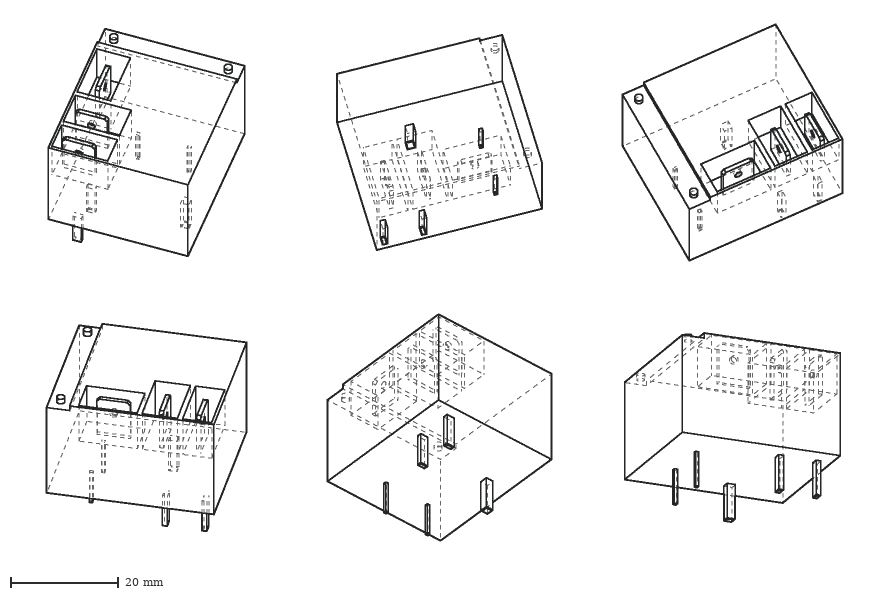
import cadquery as cq

body_width = 27.6
body_length = 32.0
body_height = 20.4

shelf_length = 4.4
shelf_drop = 1.02
post_diameter = 1.5
post_side_offset = 2.5
post_back_offset = 2.18

pocket_left = 0.5
pocket_depth = 8.0
com_pocket_width = 6.62
contact_pocket_width = 11.0
com_pocket_y = (14.8, 25.95)
no_pocket_y = (7.1, 13.85)
nc_pocket_y = (0.58, 6.1)

blade_width = 6.4
blade_thickness = 0.8
blade_chamfer = 0.58
blade_hole_diameter = 1.4
blade_hole_depth = 2.9
contact_blade_x = 4.95
com_blade_y = 20.0

pin_length = 7.0
pin_tip_chamfer = 0.15
contact_pin_size = (1.7, 0.95)
contact_pin_x = 4.85
coil_pin_size = (0.65, 0.65)
coil_pin_y = 25.45
com_pin_size = (1.6, 1.6)
pins = [
    (contact_pin_size, (contact_pin_x, 2.75)),
    (contact_pin_size, (contact_pin_x, 10.3)),
    (coil_pin_size, (8.75, coil_pin_y)),
    (coil_pin_size, (18.85, coil_pin_y)),
    (com_pin_size, (22.7, 12.83)),
]


def make_housing():
    """Block with the back shelf cut down and the two posts standing on it."""
    block = cq.Workplane("XY").box(body_width, body_length, body_height, centered=False)
    shelf_z = body_height - shelf_drop
    shelf_cut = (
        cq.Workplane("XY", origin=(0, body_length - shelf_length, shelf_z))
        .box(body_width, shelf_length, shelf_drop, centered=False)
    )
    post_y = body_length - post_back_offset
    posts = (
        cq.Workplane("XY", origin=(0, 0, shelf_z))
        .pushPoints([(post_side_offset, post_y), (body_width - post_side_offset, post_y)])
        .circle(post_diameter / 2)
        .extrude(shelf_drop)
    )
    return block.cut(shelf_cut).union(posts)


def make_pocket(width, y_range):
    """Rectangular pocket volume reaching down from the top face."""
    front, back = y_range
    return (
        cq.Workplane("XY", origin=(pocket_left, front, body_height - pocket_depth))
        .box(width, back - front, pocket_depth, centered=False)
    )


def make_blade(x, y, along_y=False):
    """Blade with chamfered top corners and a cross hole, centred on (x, y)."""
    blade = (
        cq.Workplane("XY")
        .box(blade_width, blade_thickness, pocket_depth, centered=(True, True, False))
        .edges("|Y and >Z")
        .chamfer(blade_chamfer)
    )
    hole = (
        cq.Workplane("XZ")
        .center(0, pocket_depth - blade_hole_depth)
        .circle(blade_hole_diameter / 2)
        .extrude(blade_thickness, both=True)
    )
    blade = blade.cut(hole)
    if along_y:
        blade = blade.rotate((0, 0, 0), (0, 0, 1), 90)
    return blade.translate((x, y, body_height - pocket_depth))


def make_pin(size, position):
    """Rectangular pin hanging from the bottom face, with a chamfered tip."""
    return (
        cq.Workplane("XY", origin=(*position, 0))
        .rect(*size)
        .extrude(-pin_length)
        .faces("<Z")
        .edges()
        .chamfer(pin_tip_chamfer)
    )


def middle(y_range):
    return sum(y_range) / 2


result = make_housing()

result = result.cut(make_pocket(com_pocket_width, com_pocket_y))
result = result.union(make_blade(pocket_left + com_pocket_width / 2, com_blade_y, along_y=True))

for pocket_y in (no_pocket_y, nc_pocket_y):
    result = result.cut(make_pocket(contact_pocket_width, pocket_y))
    result = result.union(make_blade(contact_blade_x, middle(pocket_y)))

for pin_size, pin_position in pins:
    result = result.union(make_pin(pin_size, pin_position))